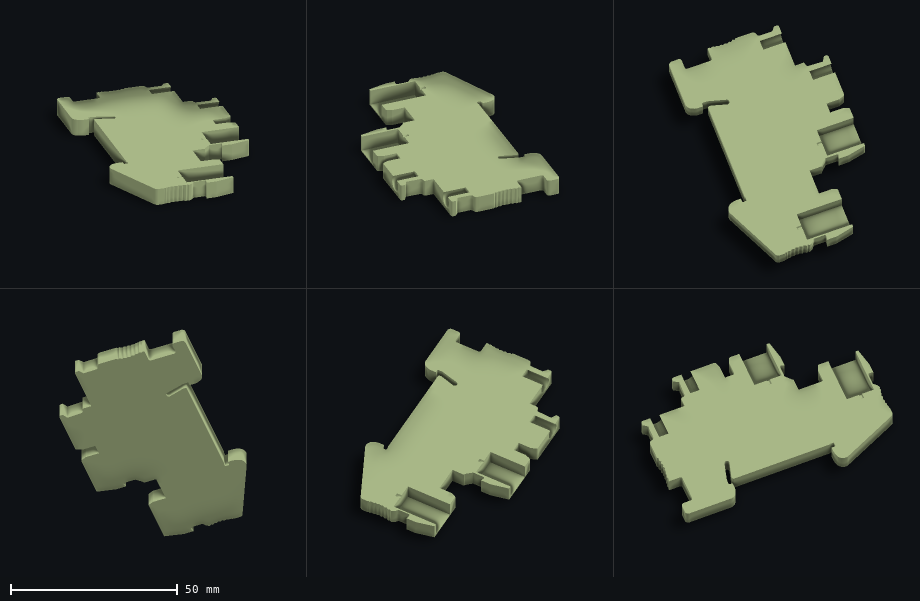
import cadquery as cq
import math

LENGTH = 71.45
HEIGHT = 45.8
THICKNESS = 5.2

RAIL_SEAT = 6.1
FOOT_HOOK = 4.8
FOOT_TOP = 4.1
LEFT_RECESS_TOP = 12.7
LEFT_SHELF = 35.3
RIGHT_SHELF = 33.15
RIGHT_NOTCH_FLOOR = 27.35
TOP_SLOT_FLOOR = 39.8
TOP_SLOT_SHOULDER = 43.85

FOOT_LEFT = 0.4
FOOT_START = 1.5
RECESS_LEFT = 4.3
STEP_WALL = 14.65
UPPER_LATCH_LIP = 14.8
TOE_LEFT = 16.35
TOE_RIGHT = 17.5
SEAT_LEFT = 18.1
TOP_SLOT_LEFT = 29.65
TOP_SLOT_RIGHT = 32.7
UPPER_HOOK_WALL = 46.3
UPPER_HOOK_TIP = 47.8
RIGHT_NOTCH_LEFT = 48.4
RIGHT_FOOT_LEFT = 49.7
SEAT_RIGHT = 51.0
RIGHT_NOTCH_RIGHT = 56.4
LOWER_HOOK_WALL = 69.7
RIGHT_FACE = 71.2

FOOT_BOTTOM_RADIUS = 1.1
FOOT_TOP_RADIUS = 0.85
RECESS_RADIUS = 0.65
LATCH_RADIUS = 0.6
STEP_RADIUS = 0.4
HOOK_RADIUS = 0.35
SEAT_RADIUS = 0.4
TOE_INNER_RADIUS = 0.3

TOOTH_COUNT = 6
TOOTH_PITCH = 1.3
TOOTH_STEP = 0.4
TOOTH_DEPTH = 0.4
TEETH_SAG = 0.5

POCKET_WIDTH = 8.85
POCKET_FLOOR = 0.35
UPPER_POCKET_X = 41.2
UPPER_POCKET_BOTTOM = 34.0
LOWER_POCKET_X = 64.9
LOWER_POCKET_BOTTOM = 18.7
NOTCH_WIDTH = 1.15
NOTCH_LENGTH = 1.6

GROOVE_LENGTH = 7.1
GROOVE_MOUTH = 3.0
GROOVE_RADIUS = 2.35
GROOVE_WALL_SPACING = 2.5
GROOVE_FLOOR_WIDTH = 1.6
GROOVE_FLOOR_DROP = 0.3
LOWER_GROOVE_X = 4.9
UPPER_GROOVE_X = 19.4


def teeth(edge_x, lowest_tip_y, inward):
    """Points of a row of teeth from bottom to top; inward is the X sign that points into the body."""
    points = []
    for tooth in range(TOOTH_COUNT):
        t = tooth / (TOOTH_COUNT - 1)
        tip_x = edge_x + inward * 4 * TEETH_SAG * t * (1 - t)
        tip_y = lowest_tip_y + tooth * TOOTH_PITCH
        points.append((tip_x, tip_y))
        points.append((tip_x + inward * TOOTH_DEPTH, tip_y + TOOTH_STEP))
    return points


def trace_lines(path, points):
    """Continue the path with straight lines through the points."""
    for point in points:
        path = path.lineTo(*point)
    return path


def trace_left_foot(path):
    """Rounded left foot and the recess above it."""
    path = path.radiusArc((FOOT_LEFT, 0.9), FOOT_BOTTOM_RADIUS)
    path = path.lineTo(FOOT_LEFT, FOOT_TOP - FOOT_TOP_RADIUS)
    path = path.radiusArc((FOOT_LEFT + FOOT_TOP_RADIUS, FOOT_TOP), FOOT_TOP_RADIUS)
    path = path.lineTo(RECESS_LEFT - RECESS_RADIUS, FOOT_TOP)
    path = path.radiusArc((RECESS_LEFT, FOOT_TOP + RECESS_RADIUS), -RECESS_RADIUS)
    path = path.lineTo(RECESS_LEFT, LEFT_RECESS_TOP - RECESS_RADIUS)
    return path.radiusArc((RECESS_LEFT - RECESS_RADIUS, LEFT_RECESS_TOP), -RECESS_RADIUS)


def trace_left_end(path):
    """Left teeth and the two marker latches, up to the top edge."""
    path = trace_lines(path, [(0.2, LEFT_RECESS_TOP), (0.2, 13.4), (0.35, 13.6)])
    path = trace_lines(path, teeth(0.15, 14.35, 0.7))
    path = trace_lines(path, [(0, 21.65), (0, 26.65), (0.1, 27.3)])
    path = path.radiusArc((0.4, 27.8), 0.7).lineTo(1.15, 28.1)
    path = path.threePointArc((1.5, 28.3), (1.7, 28.65))
    path = trace_lines(path, [(1.8, 32.8), (0.9, 33.5), (FOOT_LEFT, 33.85)])
    path = path.lineTo(FOOT_LEFT, LEFT_SHELF - LATCH_RADIUS)
    path = path.radiusArc((FOOT_LEFT + LATCH_RADIUS, LEFT_SHELF), LATCH_RADIUS)
    path = trace_lines(path, [(STEP_WALL, LEFT_SHELF), (STEP_WALL, 37.85)])
    path = path.radiusArc((15, 38.3), STEP_RADIUS).lineTo(15.4, 38.35)
    path = path.threePointArc((15.9, 38.6), (16.15, 39.0))
    path = trace_lines(path, [(16.35, 43.6), (UPPER_LATCH_LIP, 44.5)])
    path = path.lineTo(UPPER_LATCH_LIP, HEIGHT - LATCH_RADIUS)
    return path.radiusArc((UPPER_LATCH_LIP + LATCH_RADIUS, HEIGHT), LATCH_RADIUS)


def trace_top(path):
    """Slot in the top edge, the hooked upper tier and the notch between the tiers."""
    path = trace_lines(path, [(28.7, HEIGHT), (29.0, HEIGHT - 0.2), (TOP_SLOT_LEFT, TOP_SLOT_SHOULDER)])
    path = trace_lines(path, [(TOP_SLOT_LEFT, TOP_SLOT_FLOOR), (TOP_SLOT_RIGHT, TOP_SLOT_FLOOR)])
    path = trace_lines(path, [(TOP_SLOT_RIGHT, TOP_SLOT_SHOULDER), (33.35, HEIGHT - 0.2), (33.65, HEIGHT)])
    path = path.lineTo(46.2, HEIGHT).radiusArc((46.65, HEIGHT - 0.35), 0.4)
    path = trace_lines(path, [(UPPER_HOOK_TIP, 40), (UPPER_HOOK_TIP, 36.8), (46.9, 37.2)])
    path = path.threePointArc((46.45, 37.15), (UPPER_HOOK_WALL, 36.85))
    path = trace_lines(path, [(UPPER_HOOK_WALL, 33.3), (48.0, 31.35), (RIGHT_NOTCH_LEFT, 31.3)])
    path = trace_lines(path, [(RIGHT_NOTCH_LEFT, RIGHT_NOTCH_FLOOR), (RIGHT_NOTCH_RIGHT, RIGHT_NOTCH_FLOOR)])
    return trace_lines(path, [(RIGHT_NOTCH_RIGHT, 31.4), (56.95, RIGHT_SHELF - 0.2), (57.15, RIGHT_SHELF)])


def trace_right_end(path):
    """Hooked lower tier and the right teeth."""
    path = trace_lines(path, [(70.15, RIGHT_SHELF), (LENGTH, RIGHT_NOTCH_FLOOR), (LENGTH, 24.2), (70.9, 24.5)])
    path = path.lineTo(LOWER_HOOK_WALL + HOOK_RADIUS, 24.5)
    path = path.radiusArc((LOWER_HOOK_WALL, 24.5 - HOOK_RADIUS), -HOOK_RADIUS)
    path = path.lineTo(LOWER_HOOK_WALL, 21.1).threePointArc((69.8, 20.7), (70, 20.4))
    path = path.threePointArc((70.7, 19.8), (RIGHT_FACE, 18.85))
    path = trace_lines(path, reversed(teeth(71.15, 11.5, -0.7)))
    return trace_lines(path, [(71.0, 11.15), (RIGHT_FACE, 10.85)])


def trace_right_foot(path):
    """Sloping underside and rounded nose of the right foot, ending in the undercut at the rail seat."""
    path = path.lineTo(RIGHT_FACE, 9.0).threePointArc((71.0, 8.5), (70.6, 8.15))
    path = trace_lines(path, [(53.15, 0.15), (52.8, 0), (52.4, 0)])
    path = path.threePointArc((51.1, 0.35), (50.3, 1.15))
    path = path.threePointArc((49.9, 2.35), (RIGHT_FOOT_LEFT, 3.6)).lineTo(RIGHT_FOOT_LEFT, FOOT_HOOK)
    path = trace_lines(path, [(SEAT_RIGHT, FOOT_HOOK + 0.15), (SEAT_RIGHT, RAIL_SEAT + 0.15)])
    return trace_lines(path, [(49.95, RAIL_SEAT + 0.15), (49.8, RAIL_SEAT)])


def trace_rail_side(path):
    """Rail seat, slanted spring slot and the rounded toe of the left foot."""
    path = path.lineTo(SEAT_LEFT + SEAT_RADIUS, RAIL_SEAT)
    path = path.radiusArc((SEAT_LEFT, RAIL_SEAT + SEAT_RADIUS), SEAT_RADIUS)
    path = path.lineTo(SEAT_LEFT, 7.1).lineTo(19.4, 11.8)
    path = path.threePointArc((18.85, 12.7), (17.9, 12.2))
    path = trace_lines(path, [(TOE_LEFT, 6.4), (TOE_LEFT, FOOT_HOOK + TOE_INNER_RADIUS)])
    path = path.radiusArc((TOE_LEFT + TOE_INNER_RADIUS, FOOT_HOOK), -TOE_INNER_RADIUS)
    path = trace_lines(path, [(TOE_RIGHT, FOOT_HOOK), (TOE_RIGHT, 3.1)])
    path = path.threePointArc((17.35, 2.2), (17.0, 1.4))
    return path.threePointArc((16.35, 0.5), (15.2, 0))


def housing():
    """Solid body, traced clockwise from the bottom of the left foot."""
    path = cq.Workplane("XY").moveTo(FOOT_START, 0)
    path = trace_left_foot(path)
    path = trace_left_end(path)
    path = trace_top(path)
    path = trace_right_end(path)
    path = trace_right_foot(path)
    path = trace_rail_side(path)
    return path.close().extrude(THICKNESS)


def wire_pocket(center_x, bottom_y, top_y):
    """Rectangular pocket above a thin floor, with a half-hexagon notch at its closed end."""
    pocket = (
        cq.Workplane("XY")
        .box(POCKET_WIDTH, top_y - bottom_y, THICKNESS - POCKET_FLOOR, centered=(True, False, False))
        .translate((center_x, bottom_y, POCKET_FLOOR))
    )
    notch = (
        cq.Workplane("XZ", origin=(center_x, bottom_y, THICKNESS))
        .polygon(6, NOTCH_WIDTH)
        .extrude(NOTCH_LENGTH)
    )
    return pocket.union(notch)


def marker_groove(center_x, top_y):
    """Groove with circular side walls, running down from the top of a tier."""
    half_mouth = GROOVE_MOUTH / 2
    half_spacing = GROOVE_WALL_SPACING / 2
    half_floor = GROOVE_FLOOR_WIDTH / 2
    center_depth = math.sqrt(GROOVE_RADIUS**2 - half_mouth**2)
    wall_depth = center_depth + math.sqrt(GROOVE_RADIUS**2 - half_spacing**2)
    floor_depth = wall_depth + GROOVE_FLOOR_DROP
    return (
        cq.Workplane("XZ", origin=(center_x, top_y, THICKNESS))
        .moveTo(-half_mouth, 0)
        .lineTo(half_mouth, 0)
        .threePointArc((GROOVE_RADIUS, -center_depth), (half_spacing, -wall_depth))
        .lineTo(half_floor, -floor_depth)
        .lineTo(-half_floor, -floor_depth)
        .lineTo(-half_spacing, -wall_depth)
        .threePointArc((-GROOVE_RADIUS, -center_depth), (-half_mouth, 0))
        .close()
        .extrude(GROOVE_LENGTH)
    )


result = (
    housing()
    .cut(wire_pocket(UPPER_POCKET_X, UPPER_POCKET_BOTTOM, HEIGHT))
    .cut(wire_pocket(LOWER_POCKET_X, LOWER_POCKET_BOTTOM, RIGHT_SHELF))
    .cut(marker_groove(LOWER_GROOVE_X, LEFT_SHELF))
    .cut(marker_groove(UPPER_GROOVE_X, HEIGHT))
)